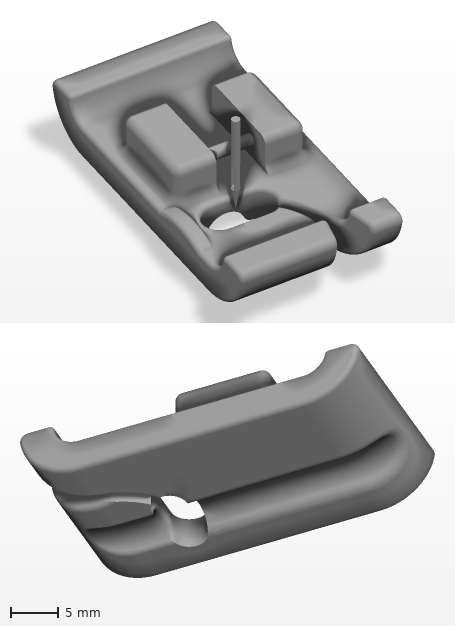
import cadquery as cq
import math

length = 39.32
width = 20.0
deck_z = 4.0
left_radius = 6.5
right_radius = 7.0
end_round = 1.0
edge_round = 0.5
half_width = width / 2
margin = 0.05


def end_reach(radius):
    """Distance from the start of an upturned end to its outermost point, after rounding."""
    return math.sqrt((radius - end_round) ** 2 - end_round ** 2) + end_round


left_center_x = end_reach(left_radius)
right_center_x = length - end_reach(right_radius)

slot_x = 26.4
slot_radius = 2.0
slot_back_y = 0.0
needle_y = -3.0
slot_front_y = -5.0
path_arc_x = 33.85
path_arc_y = -4.7
path_outer_radius = 9.5
path_inner_radius = 8.4
path_start = 145.0
path_flare = 12.0
lip_x = 32.4
lip_y = 3.4
path_overrun = 1.57
channel_radius = 2.48
channel_axis_z = -0.4
channel_rise = 1.18
channel_rise_x = slot_x
channel_mouth_round = 1.0

block_x = 16.9
block_length = 11.0
block_inner_y = 3.0
block_outer_y = 8.0
block_top_z = 8.5
block_round = 1.0
pin_diameter = 1.5
pin_x = 19.42
pin_z = 6.25

bump_radius = 10.0
bump_half_length = 4.0
bump_back_y = -8.0

needle_diameter = 1.0
needle_top_z = 16.4
needle_tip_z = 4.4
needle_tip_diameter = 0.08
shank_bottom_z = 7.0
scarf_top_z = 10.25
scarf_thickness = 0.65
scarf_round = 0.2
eye_width = 0.5
eye_bottom_z = 7.2
eye_top_z = 10.2


def box_between(x_ends, y_ends, z_ends):
    """Box between two X, two Y and two Z values, each pair in either order."""
    lows = [min(ends) for ends in (x_ends, y_ends, z_ends)]
    sizes = [max(ends) - min(ends) for ends in (x_ends, y_ends, z_ends)]
    return cq.Workplane("XY").box(*sizes, centered=False).translate(tuple(lows))


def edges_within(x_ends, y_ends, z_ends):
    """Selector for the edges whose centres lie in a box, with a little slack."""
    low_corner = [min(ends) - margin for ends in (x_ends, y_ends, z_ends)]
    high_corner = [max(ends) + margin for ends in (x_ends, y_ends, z_ends)]
    return cq.selectors.BoxSelector(low_corner, high_corner)


def make_plate():
    """Plate with two upturned ends, extruded across its width."""
    left_inner = left_radius - deck_z
    right_inner = right_radius - deck_z
    diagonal = math.sqrt(0.5)
    plate = (
        cq.Workplane("XZ", origin=(0, half_width, 0))
        .moveTo(left_center_x, 0)
        .lineTo(right_center_x, 0)
        .threePointArc(
            (right_center_x + right_radius * diagonal, right_radius * (1 - diagonal)),
            (right_center_x + right_radius, right_radius),
        )
        .lineTo(right_center_x + right_inner, right_radius)
        .threePointArc(
            (right_center_x + right_inner * diagonal, right_radius - right_inner * diagonal),
            (right_center_x, deck_z),
        )
        .lineTo(left_center_x, deck_z)
        .threePointArc(
            (left_center_x - left_inner * diagonal, left_radius - left_inner * diagonal),
            (left_center_x - left_inner, left_radius),
        )
        .lineTo(left_center_x - left_radius, left_radius)
        .threePointArc(
            (left_center_x - left_radius * diagonal, left_radius * (1 - diagonal)),
            (left_center_x, 0),
        )
        .close()
        .extrude(width)
    )
    plate = plate.edges("|Y").edges("<X or >X").fillet(end_round)
    inner_corners = edges_within(
        (left_center_x - left_inner, right_center_x + right_inner), (0, 0), (left_radius, right_radius)
    )
    return plate.edges("|Y").edges(inner_corners).fillet(edge_round)


def make_slot():
    """Round-ended slot for the needle, centred on its two end arcs."""
    straight = slot_back_y - slot_front_y
    return (
        cq.Workplane("XY")
        .center(slot_x, (slot_back_y + slot_front_y) / 2)
        .slot2D(straight + 2 * slot_radius, 2 * slot_radius, 90)
        .extrude(needle_top_z)
    )


def make_entry_path():
    """Curved thread path from the slot to the flared mouth at the right end."""
    flare = math.radians(path_flare)
    end_x = length + path_overrun

    def on_arc(radius, angle):
        return (path_arc_x + radius * math.cos(angle), path_arc_y + radius * math.sin(angle))

    start = math.radians(path_start)
    outer_end = math.pi / 2 + flare
    outer_x, outer_y = on_arc(path_outer_radius, outer_end)
    inner_end = math.pi - math.asin((lip_y - path_arc_y) / path_inner_radius)
    return (
        cq.Workplane("XY")
        .moveTo(*on_arc(path_inner_radius, start))
        .lineTo(*on_arc(path_outer_radius, start))
        .threePointArc(on_arc(path_outer_radius, (start + outer_end) / 2), (outer_x, outer_y))
        .lineTo(end_x, outer_y + (end_x - outer_x) * math.tan(flare))
        .lineTo(end_x, lip_y - (end_x - lip_x) * math.tan(flare))
        .lineTo(lip_x, lip_y)
        .lineTo(*on_arc(path_inner_radius, inner_end))
        .threePointArc(on_arc(path_inner_radius, (start + inner_end) / 2), on_arc(path_inner_radius, start))
        .close()
        .extrude(needle_top_z)
    )


def make_channel_run(direction):
    """Straight piece of round-topped channel that starts inside the slot."""
    plane = cq.Plane((channel_rise_x, needle_y, channel_axis_z), (0, 1, 0), direction)
    up = math.copysign(1, plane.yDir.z)
    return (
        cq.Workplane(plane)
        .moveTo(-channel_radius, -up * deck_z)
        .lineTo(-channel_radius, 0)
        .threePointArc((0, up * channel_radius), (channel_radius, 0))
        .lineTo(channel_radius, -up * deck_z)
        .close()
        .extrude(length)
    )


def make_channel():
    """Channel along the whole sole: rising to the left of the slot, level to the right of it."""
    rising = make_channel_run((-channel_rise_x, 0, channel_rise))
    level = make_channel_run((1, 0, 0))
    return rising.union(level)


def make_block(side):
    """Clamp block with three rounded outer sides; side is +1 at the back, -1 at the front."""
    block = box_between(
        (block_x - block_length / 2, block_x + block_length / 2),
        (side * block_inner_y, side * block_outer_y),
        (deck_z, block_top_z),
    )
    inner, outer = ("<Y", ">Y") if side > 0 else (">Y", "<Y")
    block = block.edges("|Z").edges(outer).fillet(block_round)
    return block.faces(">Z").edges("not " + inner).fillet(block_round)


def flare_block_base(foot, side):
    """Concave round where the three outer sides of a block meet the deck."""
    past_inner_face = block_inner_y + 2 * margin
    base = edges_within(
        (block_x - block_length / 2, block_x + block_length / 2),
        (side * past_inner_face, side * block_outer_y),
        (deck_z, deck_z),
    )
    return foot.edges(base).fillet(block_round)


def make_bump():
    """Low arched pad on the deck in front of the slot, rounded along both arched edges."""
    drop = math.sqrt(bump_radius**2 - bump_half_length**2)
    roller = (
        cq.Workplane("XZ", origin=(slot_x, bump_back_y, deck_z - drop))
        .circle(bump_radius)
        .extrude(half_width + bump_back_y)
        .edges()
        .fillet(edge_round)
    )
    bounds = box_between(
        (slot_x - bump_half_length, slot_x + bump_half_length),
        (-half_width, bump_back_y),
        (deck_z / 2, block_top_z),
    )
    return roller.intersect(bounds)


def make_pin():
    """Cross pin, flush with the outer sides of both blocks."""
    return (
        cq.Workplane("XZ", origin=(pin_x, block_outer_y, pin_z))
        .circle(pin_diameter / 2)
        .extrude(2 * block_outer_y)
    )


def round_upper_edges(foot):
    """Rounds along both long sides and along the upper rim of the slot and its entry path."""
    inside_y = half_width - edge_round
    rim = edges_within((0, length), (-inside_y, inside_y), (deck_z, right_radius))
    sides = foot.faces("<Y or >Y").edges()
    return sides.add(foot.edges("not (|Y or |Z)").edges(rim)).fillet(edge_round)


def round_channel_mouth(foot):
    """Round at the left mouth of the channel, running on along the sole up to the slot."""
    mouth = edges_within(
        (0, left_center_x), (needle_y - 2 * channel_radius, needle_y + 2 * channel_radius), (0, left_radius / 2)
    )
    return foot.edges("not |Y").edges(mouth).fillet(channel_mouth_round)


def round_channel_right(foot):
    """Rounds along the channel right of the slot and where it opens into the slot."""
    rim = edges_within(
        (slot_x, length), (needle_y - channel_radius, needle_y + channel_radius), (0, deck_z / 2)
    )
    return foot.edges("not (|Y or |Z)").edges(rim).fillet(edge_round)


def make_foot():
    """Plate with its cuts and rounds, both clamp blocks, the bump and the bore for the pin."""
    foot = make_plate().cut(make_slot()).cut(make_entry_path())
    foot = round_upper_edges(foot)
    foot = foot.cut(make_channel())
    foot = round_channel_mouth(foot)
    foot = round_channel_right(foot)
    for side in (1, -1):
        foot = foot.union(make_block(side))
        foot = flare_block_base(foot, side)
    return foot.union(make_bump()).cut(make_pin())


def make_scarf(side):
    """Cutter for the flat on one side of the needle, with rounded inner corners."""
    scarf = box_between(
        (slot_x - needle_diameter, slot_x + needle_diameter),
        (needle_y + side * scarf_thickness / 2, needle_y + side * needle_diameter),
        (shank_bottom_z, scarf_top_z),
    )
    inner_face = "<Y" if side > 0 else ">Y"
    return scarf.faces(inner_face).edges("|X").fillet(scarf_round)


def make_eye():
    """Cutter for the round-ended thread eye."""
    return (
        cq.Workplane("XZ", origin=(slot_x, needle_y + needle_diameter, (eye_bottom_z + eye_top_z) / 2))
        .slot2D(eye_top_z - eye_bottom_z, eye_width, 90)
        .extrude(2 * needle_diameter)
    )


def make_needle():
    """Round shank with two flats, an eye and a tapered point."""
    radius = needle_diameter / 2
    needle = (
        cq.Workplane("XZ", origin=(slot_x, needle_y, 0))
        .moveTo(0, needle_tip_z)
        .lineTo(needle_tip_diameter / 2, needle_tip_z)
        .lineTo(radius, shank_bottom_z)
        .lineTo(radius, needle_top_z)
        .lineTo(0, needle_top_z)
        .close()
        .revolve(360, (0, 0, 0), (0, 1, 0))
    )
    for side in (1, -1):
        needle = needle.cut(make_scarf(side))
    return needle.cut(make_eye())


foot = make_foot()
pin = make_pin()
needle = make_needle()
result = cq.Compound.makeCompound([foot.val(), pin.val(), needle.val()])